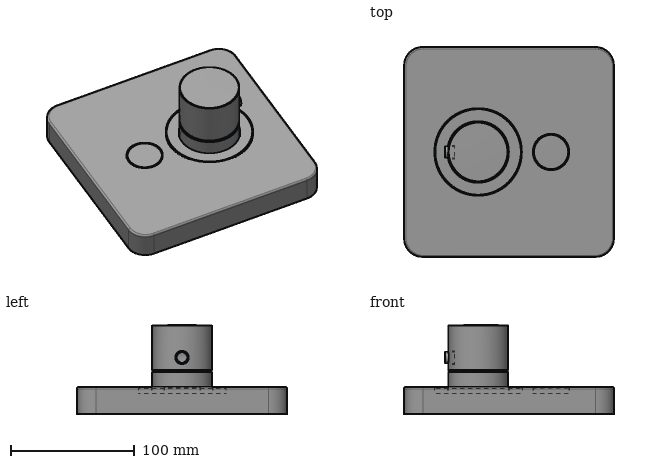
import cadquery as cq
import math

plate_side = 170.0
plate_thickness = 22.1
plate_corner_radius = 15.3
plate_edge_fillet = 1.5

knob_x = -25.0
rose_radius = 35.5
rose_depth = 5.1
rose_edge_chamfer = 1.0
collar_clearance = 0.7

button_x = 34.0
button_radius = 14.5
button_clearance = 0.3
button_depth = 5.1
button_rim_width = 0.7
button_rim_drop = 0.7
button_dome_rise = 0.2

overall_height = 72.5
knob_radius = 24.3
collar_top = 34.3
ring_height = 1.0
ring_inset = 0.5
stack_edge_chamfer = 0.5
knob_dome_rise = 0.5
knob_rim_width = 0.7
knob_rim_drop = 0.3

stop_radius = 4.8
stop_clearance = 0.7
stop_z = 45.9
stop_projection = 2.7
stop_seat_depth = 5.1
stop_tip_chamfer = 0.5
stop_dish_depth = 0.5

rose_bottom = plate_thickness - rose_depth
button_bottom = plate_thickness - button_depth
knob_bottom = collar_top + ring_height
knob_rim_z = overall_height - knob_dome_rise
knob_side_x = knob_x - knob_radius
stop_tip_x = knob_side_x - stop_projection
stop_seat_x = knob_side_x + stop_seat_depth


def cylinder(x, radius, bottom, top):
    """Upright cylinder on the plate's X centreline."""
    return cq.Workplane("XY", origin=(x, 0, bottom)).circle(radius).extrude(top - bottom)


def cap_sphere_radius(rim_radius, cap_height):
    """Radius of the sphere whose cap has this rim radius and height."""
    return (rim_radius**2 + cap_height**2) / (2 * cap_height)


def domed_disc(x, radius, bottom, rim_z, rise, rim_width, rim_drop):
    """Upright disc with a chamfered rim and a shallow domed top."""
    dome_edge = radius - rim_width
    sphere_radius = cap_sphere_radius(dome_edge, rise)
    mid_radius = dome_edge / 2
    mid_drop = sphere_radius - math.sqrt(sphere_radius**2 - mid_radius**2)
    return (
        cq.Workplane("XZ", origin=(x, 0, 0))
        .moveTo(0, bottom)
        .lineTo(radius, bottom)
        .lineTo(radius, rim_z - rim_drop)
        .lineTo(dome_edge, rim_z)
        .threePointArc((mid_radius, rim_z + rise - mid_drop), (0, rim_z + rise))
        .close()
        .revolve(360, (0, 0), (0, 1))
    )


def stop_cylinder(radius, start_x, end_x):
    """Cylinder lying along X at the height of the stop pin."""
    return cq.Workplane("YZ", origin=(start_x, 0, stop_z)).circle(radius).extrude(end_x - start_x)


def make_plate():
    plate = (
        cq.Workplane("XY")
        .rect(plate_side, plate_side)
        .extrude(plate_thickness)
        .edges("|Z")
        .fillet(plate_corner_radius)
        .faces(">Z")
        .edges()
        .fillet(plate_edge_fillet)
    )
    rose_recess = cylinder(knob_x, rose_radius, rose_bottom, plate_thickness)
    button_recess = cylinder(button_x, button_radius + button_clearance, button_bottom, plate_thickness)
    return plate.cut(rose_recess).cut(button_recess)


def make_rose():
    rose = cylinder(knob_x, rose_radius, rose_bottom, plate_thickness)
    rose = rose.faces(">Z").edges().chamfer(rose_edge_chamfer)
    collar_hole = cylinder(knob_x, knob_radius + collar_clearance, rose_bottom, plate_thickness)
    return rose.cut(collar_hole)


def make_push_button():
    return domed_disc(
        button_x,
        button_radius,
        button_bottom,
        plate_thickness - button_dome_rise,
        button_dome_rise,
        button_rim_width,
        button_rim_drop,
    )


def make_collar():
    collar = cylinder(knob_x, knob_radius, rose_bottom, collar_top)
    return collar.faces(">Z").edges().chamfer(stack_edge_chamfer)


def make_ring():
    return cylinder(knob_x, knob_radius - ring_inset, collar_top, knob_bottom)


def make_knob():
    knob = domed_disc(
        knob_x,
        knob_radius,
        knob_bottom,
        knob_rim_z,
        knob_dome_rise,
        knob_rim_width,
        knob_rim_drop,
    )
    knob = knob.faces("<Z").edges().chamfer(stack_edge_chamfer)
    return knob.cut(stop_cylinder(stop_radius + stop_clearance, stop_tip_x, stop_seat_x))


def make_stop_pin():
    pin = stop_cylinder(stop_radius, stop_tip_x, stop_seat_x)
    pin = pin.faces("<X").edges().chamfer(stop_tip_chamfer)
    dish_radius = cap_sphere_radius(stop_radius - stop_tip_chamfer, stop_dish_depth)
    dish_x = stop_tip_x + stop_dish_depth - dish_radius
    dish = cq.Workplane("YZ", origin=(dish_x, 0, stop_z)).sphere(dish_radius)
    return pin.cut(dish)


plate = make_plate()
rose = make_rose()
push_button = make_push_button()
collar = make_collar()
ring = make_ring()
knob = make_knob()
stop_pin = make_stop_pin()

result = cq.Compound.makeCompound(
    [
        plate.val(),
        rose.val(),
        push_button.val(),
        collar.val(),
        ring.val(),
        knob.val(),
        stop_pin.val(),
    ]
)